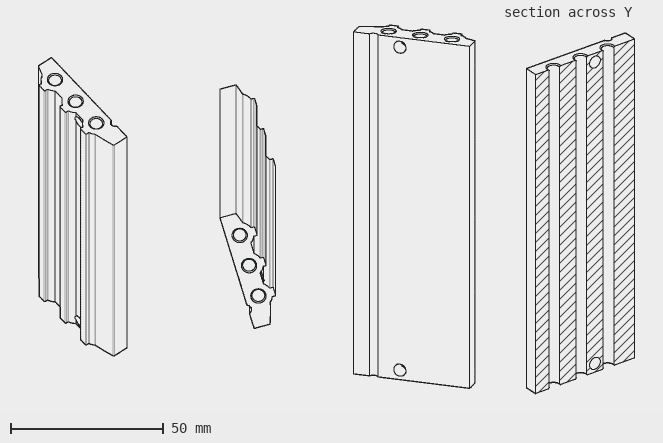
import cadquery as cq
import math

length = 119.5
width = 40.3
thickness = 10.0
half_width = width / 2

bore_pitch = 11.0
middle_bore_x = -1.4
bore_depth = 4.5
bore_diameter = 4.2
bore_chamfer = 0.42
bore_y = -bore_depth
bore_positions = [middle_bore_x + i * bore_pitch for i in (-1, 0, 1)]
bulge_radius = 4.5
rib_width = 3.1
rib_half_width = rib_width / 2
middle_rib_setback = 0.1
rib_root_fillet = 0.2
rib_edge_fillet = 0.3

floor_depth = 7.3

flank_radius = 60.0
side_height = 5.5
corner_fillet = 0.4
flank_root_fillet = 0.5
flank_center_y = math.sqrt(flank_radius**2 - half_width**2) - side_height

mount_diameter = 4.2
mount_end_distance = 3.3
mount_x = middle_bore_x + bore_pitch / 2

groove_x = 13.1
groove_diameter = 3.0
groove_depth = 1.1


def flank_point(x):
    """Point of the large flank arc at the given x."""
    return (x, flank_center_y - math.sqrt(flank_radius**2 - x**2))


def fillet_long_edge(body, x, y, radius):
    """Fillet the one edge along Z that lies nearest to (x, y)."""
    nearest = cq.NearestToPointSelector((x, y, length / 2))
    return body.edges("|Z").edges(nearest).fillet(radius)


def web():
    """Flat-backed plate with arched flanks and a level valley floor between the outer bores."""
    left_x = bore_positions[0]
    right_x = bore_positions[-1]
    plate = (
        cq.Workplane("XY")
        .moveTo(-half_width, 0)
        .lineTo(-half_width, -side_height)
        .threePointArc(flank_point((left_x - half_width) / 2), flank_point(left_x))
        .lineTo(left_x, -floor_depth)
        .lineTo(right_x, -floor_depth)
        .lineTo(*flank_point(right_x))
        .threePointArc(flank_point((right_x + half_width) / 2), (half_width, -side_height))
        .lineTo(half_width, 0)
        .close()
        .extrude(length)
    )
    for side in (-1, 1):
        plate = fillet_long_edge(plate, side * half_width, -side_height, corner_fillet)
    return plate


def bulge_with_rib(bore_x):
    """Round wall around one bore with a straight rib in front, all rib edges rounded."""
    bulge = cq.Workplane("XY").center(bore_x, bore_y).circle(bulge_radius).extrude(length)
    rib_reach = thickness - bore_depth
    if bore_x == middle_bore_x:
        rib_reach -= middle_rib_setback
    rib = cq.Workplane("XY").box(rib_width, rib_reach, length, centered=(True, False, False))
    body = bulge.union(rib.translate((bore_x, bore_y - rib_reach, 0)))

    root_y = bore_y - math.sqrt(bulge_radius**2 - rib_half_width**2)
    for side in (-1, 1):
        body = fillet_long_edge(body, bore_x + side * rib_half_width, root_y, rib_root_fillet)
    return body.faces("<Y").edges("|Z").fillet(rib_edge_fillet)


def bore(bore_x):
    """Through bore along Z with a chamfered mouth at both ends."""
    solid = cq.Workplane("XY").center(bore_x, bore_y).circle(bore_diameter / 2).extrude(length)
    mouth_radius = bore_diameter / 2 + bore_chamfer
    for end_z, inward in ((0, 1), (length, -1)):
        mouth = cq.Solid.makeCone(
            mouth_radius,
            bore_diameter / 2,
            bore_chamfer,
            pnt=cq.Vector(bore_x, bore_y, end_z),
            dir=cq.Vector(0, 0, inward),
        )
        solid = solid.union(cq.Workplane(mouth))
    return solid


def mounting_holes():
    """One hole near each end, straight through the thickness."""
    centers = [(mount_x, mount_end_distance), (mount_x, length - mount_end_distance)]
    return cq.Workplane("XZ").pushPoints(centers).circle(mount_diameter / 2).extrude(thickness)


def back_groove():
    """Shallow round-bottomed groove over the full length of the back."""
    groove_radius = groove_diameter / 2
    groove = cq.Workplane("XY").center(groove_x, groove_radius - groove_depth)
    return groove.circle(groove_radius).extrude(length)


def round_flank_roots(body):
    """Fillet the inner corners where the flanks run into the outer bulges."""
    for side, bore_x in ((-1, bore_positions[0]), (1, bore_positions[-1])):
        root_x, root_y = flank_point(bore_x + side * bulge_radius)
        body = fillet_long_edge(body, root_x, root_y, flank_root_fillet)
    return body


result = web()
for x in bore_positions:
    result = result.union(bulge_with_rib(x))
result = round_flank_roots(result)
for x in bore_positions:
    result = result.cut(bore(x))
result = result.cut(mounting_holes()).cut(back_groove())